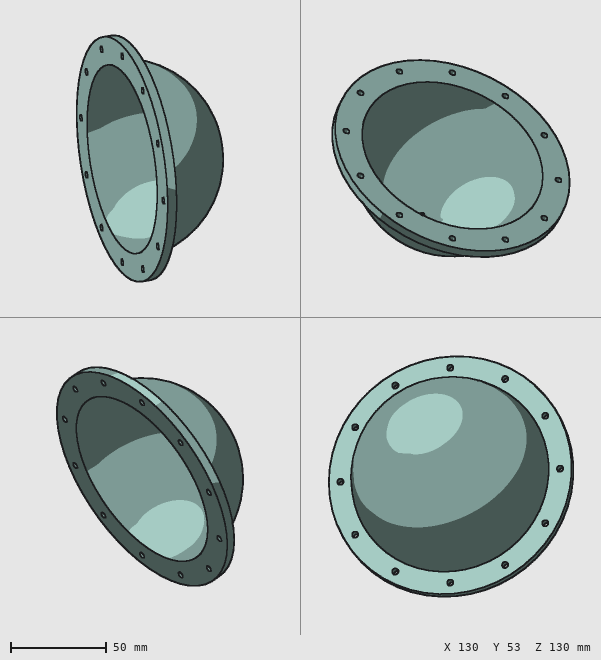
import cadquery as cq
import math

flange_diameter = 130.0
flange_thickness = 5.1
dome_outer_radius = 53.0
dome_wall = 3.0
dome_inner_radius = dome_outer_radius - dome_wall

bolt_count = 12
bolt_circle_radius = 58.8
bolt_hole_diameter = 3.2

nub_base_radius = 2.7
nub_tip_radius = 1.0
nub_fillet = nub_base_radius - nub_tip_radius
nub_embed = dome_wall / 2


def hemisphere(radius):
    """Solid half ball on the +Y side of the XZ plane."""
    return (
        cq.Workplane("XY")
        .moveTo(0, 0)
        .lineTo(radius, 0)
        .radiusArc((0, radius), -radius)
        .close()
        .revolve(360, (0, 0), (0, 1))
    )


def flange():
    """Round plate lying on Y = 0 and thickening toward +Y."""
    return cq.Workplane("XZ").circle(flange_diameter / 2).extrude(-flange_thickness)


def bolt_holes():
    """Ring of through-hole cutters, the first one on the X axis."""
    return (
        cq.Workplane("XZ")
        .polarArray(bolt_circle_radius, 0, 360, bolt_count)
        .circle(bolt_hole_diameter / 2)
        .extrude(-flange_thickness)
    )


def nub():
    """Flared pin pointing from the pole toward the open face."""
    base_y = math.sqrt(dome_inner_radius**2 - nub_base_radius**2)
    tip_y = base_y - nub_fillet
    root_y = dome_inner_radius + nub_embed
    return (
        cq.Workplane("XY")
        .moveTo(0, tip_y)
        .lineTo(nub_tip_radius, tip_y)
        .radiusArc((nub_base_radius, base_y), nub_fillet)
        .lineTo(nub_base_radius, root_y)
        .lineTo(0, root_y)
        .close()
        .revolve(360, (0, 0), (0, 1))
    )


shell = flange().union(hemisphere(dome_outer_radius)).cut(hemisphere(dome_inner_radius))
result = shell.cut(bolt_holes()).union(nub())